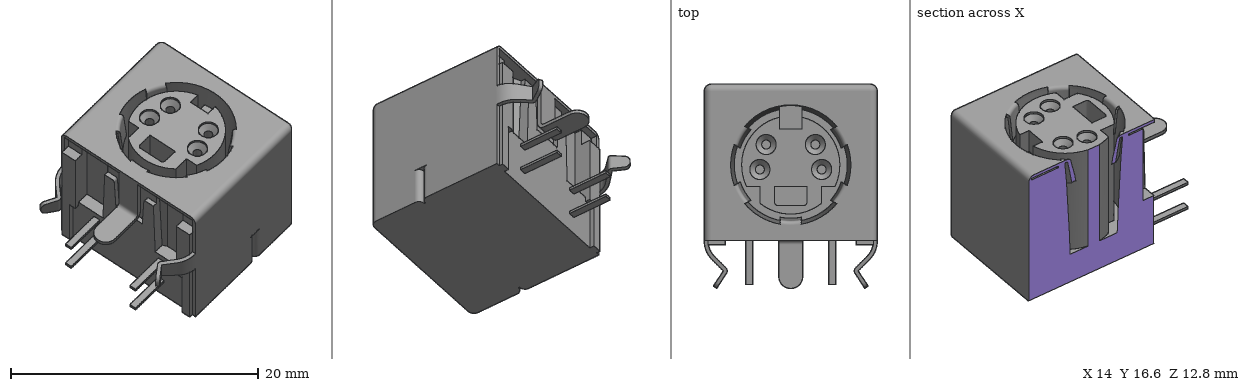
import cadquery as cq
import math


OVERALL_LENGTH = 16.56

SHELL_WIDTH = 14.03
SHELL_DEPTH = 12.68
SHELL_HEIGHT = 12.83
SHEET = 0.33
EDGE_RADIUS = 0.6
HALF_WIDTH = SHELL_WIDTH / 2
CAVITY_HALF = HALF_WIDTH - SHEET

TOP_GAP = 0.1
INSULATOR_TOP = SHELL_HEIGHT - SHEET - TOP_GAP
FRONT_SETBACK = 0.08
WING_TOP = 10.88
RECESS_Y = 0.5
RECESS_TOP_HALF = 1.55
RECESS_BOTTOM_HALF = 1.37
RECESS_BOTTOM = 7.6
WING_ROUND = 0.23

POCKET_OUTER_X = 5.28
POCKET_INNER_X = 3.15
POCKET_FLOOR_Y = 1.16
POCKET_BOTTOM = 5.0
POCKET_FLARE = 2.48
WING_SIDE_TOP_X = 2.5
WING_SIDE_BOTTOM_X = 2.73

FOOT_PROJECTION = 0.33
FOOT_STEP_X = 5.86
FOOT_STEP_Z = 4.57

SOCKET_Y = 6.13
SOCKET_RADIUS = 4.87
SOCKET_FLOOR_RADIUS = 4.57
SOCKET_DEPTH = 9.94
CORE_RADIUS = 3.97
COLLAR_RADIUS = 5.3
CORE_SHOULDER_Y = -1.75
CORE_LOBE_HALF = 2.5
KEY_HALF = 0.91
KEY_INNER = 2.93
KEY_DEPTH = 2.15
WINDOW_HALF = 1.3
WINDOW_HEIGHT = 1.52
WINDOW_ROUND = 0.26

CONTACTS = [(1.99, 1.65), (2.5, -0.36)]
CONTACT_RIM_RADIUS = 0.81
CONTACT_RIM_DEPTH = 0.2
CONTACT_BORE_RADIUS = 0.36
CONTACT_DEPTH = 3.31

TAB_ANGLES = [30, 150, 210, 270, 330]
TAB_WIDTH = 1.72
TAB_BEND = 0.33
TAB_SHEET = 0.2
TAB_LENGTH = 2.32
TAB_LEAN = 0.23

TONGUE_HALF = 0.98
TONGUE_TOP = 8.3
TONGUE_BEND = 0.33
TONGUE_REACH = OVERALL_LENGTH - SHELL_DEPTH

LEAD_X = 3.36
LEAD_LEVELS = [4.34, 1.84]
LEAD_WIDTH = 0.6
LEAD_THICKNESS = 0.25
LEAD_REACH = 3.56

LEG_Z = 7.34
LEG_ROOT_HALF = 1.01
LEG_TIP_HALF = 0.53
LEG_TIP_ROUND = 0.5
LEG_BEND_RADIUS = 2.15
LEG_KNEE_X = 5.25
LEG_KNEE_ROUND = 0.33
LEG_TIP = (6.13, -3.76)

SEAM_Y = 7.62
SEAM_ROLL = 0.53
SEAM_SLIT = 0.1
SEAM_HEIGHT = 3.43


def box(x0, x1, y0, y1, z0, z1):
    """Axis-aligned box between two corners."""
    return cq.Workplane("XY").box(x1 - x0, y1 - y0, z1 - z0, centered=False).translate((x0, y0, z0))


def front_prism(points, y0, y1):
    """Closed XZ outline extruded from y0 to y1."""
    return cq.Workplane("XZ", origin=(0, y0, 0)).polyline(points).close().extrude(y0 - y1)


def both_sides(solid):
    """The solid together with its mirror image in X."""
    return solid.union(solid.mirror("YZ"))


def on_socket(z):
    """Horizontal workplane centred on the socket axis."""
    return cq.Workplane("XY", origin=(0, SOCKET_Y, z))


def body_block():
    """Solid outer block, rounded at the back uprights and along the top, square at the front."""
    block = box(-HALF_WIDTH, HALF_WIDTH, 0, SHELL_DEPTH, 0, SHELL_HEIGHT)
    block = block.edges("|Z and >Y").fillet(EDGE_RADIUS)
    return block.faces(">Z").edges("not(<Y)").fillet(EDGE_RADIUS)


def front_recess():
    """Setback of the insulator, with the deeper T-shaped recess that leaves two wings."""
    setback = box(-CAVITY_HALF, CAVITY_HALF, 0, FRONT_SETBACK, 0, INSULATOR_TOP)
    above_wings = box(-CAVITY_HALF, CAVITY_HALF, 0, RECESS_Y, WING_TOP, INSULATOR_TOP)
    slot = front_prism(
        [
            (-RECESS_BOTTOM_HALF, RECESS_BOTTOM),
            (RECESS_BOTTOM_HALF, RECESS_BOTTOM),
            (RECESS_TOP_HALF, WING_TOP),
            (-RECESS_TOP_HALF, WING_TOP),
        ],
        0,
        RECESS_Y,
    )
    recess = above_wings.union(slot)
    wing_corners = cq.selectors.BoxSelector(
        (-RECESS_TOP_HALF - WING_ROUND, 0, WING_TOP - WING_ROUND),
        (RECESS_TOP_HALF + WING_ROUND, RECESS_Y, WING_TOP + WING_ROUND),
    )
    recess = recess.edges("|Y").edges(wing_corners).fillet(WING_ROUND)
    return recess.union(setback)


def side_pocket():
    """Pocket with a flared inner wall, bounded inside by the drafted wing side."""
    elevation = front_prism(
        [
            (WING_SIDE_BOTTOM_X, POCKET_BOTTOM),
            (POCKET_OUTER_X, POCKET_BOTTOM),
            (POCKET_OUTER_X, INSULATOR_TOP),
            (WING_SIDE_TOP_X, INSULATOR_TOP),
        ],
        0,
        POCKET_FLOOR_Y,
    )
    plan = (
        cq.Workplane("XY")
        .moveTo(POCKET_OUTER_X, 0)
        .lineTo(POCKET_OUTER_X, POCKET_FLOOR_Y)
        .lineTo(POCKET_INNER_X, POCKET_FLOOR_Y)
        .lineTo(POCKET_INNER_X - POCKET_FLARE, 0)
        .close()
        .extrude(SHELL_HEIGHT)
    )
    return elevation.intersect(plan)


def foot():
    """Stepped standoff strip along one side of the mounting face."""
    outline = [
        (CAVITY_HALF, 0),
        (CAVITY_HALF, WING_TOP),
        (POCKET_OUTER_X, WING_TOP),
        (POCKET_OUTER_X, FOOT_STEP_Z),
        (FOOT_STEP_X, FOOT_STEP_Z),
        (FOOT_STEP_X, 0),
    ]
    return front_prism(outline, -FOOT_PROJECTION, RECESS_Y)


def top_gap():
    """Clearance between insulator and shell roof, interrupted by a collar around the socket."""
    gap = box(
        -CAVITY_HALF, CAVITY_HALF, 0, SHELL_DEPTH - SHEET, INSULATOR_TOP, INSULATOR_TOP + TOP_GAP
    )
    return gap.cut(on_socket(0).circle(COLLAR_RADIUS).extrude(SHELL_HEIGHT))


def socket_core():
    """Round core with two cut shoulders, a key notch and a rectangular window."""
    floor = SHELL_HEIGHT - SOCKET_DEPTH
    core = on_socket(floor).circle(CORE_RADIUS).extrude(SOCKET_DEPTH)
    shoulder_y = SOCKET_Y + CORE_SHOULDER_Y
    shoulder = box(
        CORE_LOBE_HALF, CORE_RADIUS, SOCKET_Y - CORE_RADIUS, shoulder_y, floor, SHELL_HEIGHT
    )
    window = box(
        -WINDOW_HALF, WINDOW_HALF, shoulder_y - WINDOW_HEIGHT, shoulder_y, floor, SHELL_HEIGHT
    )
    window = window.edges("|Z and <Y").fillet(WINDOW_ROUND)
    return core.cut(both_sides(shoulder)).cut(window).cut(key_zone(floor, SHELL_HEIGHT))


def key_zone(z0, z1):
    """Key slot from the core out to the bore wall, between two levels."""
    inner_y = SOCKET_Y + KEY_INNER
    return box(-KEY_HALF, KEY_HALF, inner_y, SOCKET_Y + SOCKET_RADIUS, z0, z1)


def key_stop():
    """Raised floor of the key slot, bridging the core and the bore wall."""
    return key_zone(SHELL_HEIGHT - SOCKET_DEPTH, SHELL_HEIGHT - KEY_DEPTH)


def socket_bore():
    """Straight through the shell roof, then tapering to the floor."""
    profile = [
        (0, SHELL_HEIGHT),
        (SOCKET_RADIUS, SHELL_HEIGHT),
        (SOCKET_RADIUS, SHELL_HEIGHT - SHEET),
        (SOCKET_FLOOR_RADIUS, SHELL_HEIGHT - SOCKET_DEPTH),
        (0, SHELL_HEIGHT - SOCKET_DEPTH),
    ]
    bore = cq.Workplane("XZ").polyline(profile).close().revolve(360, (0, 0, 0), (0, 1, 0))
    return bore.translate((0, SOCKET_Y, 0))


def contact_hole(x, y):
    """Short rim, 45 degree lead-in and blind bore."""
    cone_end = SHELL_HEIGHT - CONTACT_RIM_DEPTH - (CONTACT_RIM_RADIUS - CONTACT_BORE_RADIUS)
    profile = [
        (0, SHELL_HEIGHT),
        (CONTACT_RIM_RADIUS, SHELL_HEIGHT),
        (CONTACT_RIM_RADIUS, SHELL_HEIGHT - CONTACT_RIM_DEPTH),
        (CONTACT_BORE_RADIUS, cone_end),
        (CONTACT_BORE_RADIUS, SHELL_HEIGHT - CONTACT_DEPTH),
        (0, SHELL_HEIGHT - CONTACT_DEPTH),
    ]
    hole = cq.Workplane("XZ").polyline(profile).close().revolve(360, (0, 0, 0), (0, 1, 0))
    return hole.translate((x, SOCKET_Y + y, 0))


def spring_tab(angle):
    """Curved strip rolled down from the shell roof, leaning towards the socket axis."""
    bend_z = SHELL_HEIGHT - TAB_BEND
    inner = SOCKET_RADIUS - TAB_BEND
    tip_z = bend_z - TAB_LENGTH
    diagonal = TAB_BEND * math.sqrt(0.5)
    root = SOCKET_RADIUS + SHEET
    ring = (
        cq.Workplane("XZ")
        .moveTo(root, SHELL_HEIGHT)
        .lineTo(SOCKET_RADIUS, SHELL_HEIGHT)
        .threePointArc((SOCKET_RADIUS - diagonal, bend_z + diagonal), (inner, bend_z))
        .lineTo(inner - TAB_LEAN, tip_z)
        .lineTo(inner - TAB_LEAN + TAB_SHEET, tip_z)
        .lineTo(inner + TAB_SHEET, bend_z)
        .lineTo(root, bend_z)
        .close()
        .revolve(360, (0, 0, 0), (0, 1, 0))
    )
    tab = ring.intersect(box(0, root, -TAB_WIDTH / 2, TAB_WIDTH / 2, 0, SHELL_HEIGHT))
    return tab.rotate((0, 0, 0), (0, 0, 1), angle).translate((0, SOCKET_Y, 0))


def ground_tongue():
    """Strip hanging from the shell roof and bent outwards to a round-ended lead."""
    outer = TONGUE_BEND + SHEET
    bend_y = SHEET - outer
    bend_z = TONGUE_TOP + TONGUE_BEND
    diagonal = math.sqrt(0.5)
    strip = (
        cq.Workplane("YZ", origin=(-TONGUE_HALF, 0, 0))
        .moveTo(0, SHELL_HEIGHT - SHEET)
        .lineTo(SHEET, SHELL_HEIGHT - SHEET)
        .lineTo(SHEET, bend_z)
        .threePointArc(
            (bend_y + outer * diagonal, bend_z - outer * diagonal), (bend_y, bend_z - outer)
        )
        .lineTo(-TONGUE_REACH, TONGUE_TOP - SHEET)
        .lineTo(-TONGUE_REACH, TONGUE_TOP)
        .lineTo(bend_y, TONGUE_TOP)
        .threePointArc(
            (bend_y + TONGUE_BEND * diagonal, bend_z - TONGUE_BEND * diagonal), (0, bend_z)
        )
        .close()
        .extrude(2 * TONGUE_HALF)
    )
    plan = (
        cq.Workplane("XY")
        .moveTo(-TONGUE_HALF, SHEET)
        .lineTo(-TONGUE_HALF, TONGUE_HALF - TONGUE_REACH)
        .threePointArc((0, -TONGUE_REACH), (TONGUE_HALF, TONGUE_HALF - TONGUE_REACH))
        .lineTo(TONGUE_HALF, SHEET)
        .close()
        .extrude(SHELL_HEIGHT)
    )
    return strip.intersect(plan)


def lead(z):
    """Flat signal lead on the +X side at the given level."""
    half_width = LEAD_WIDTH / 2
    half_thickness = LEAD_THICKNESS / 2
    return box(
        LEAD_X - half_width,
        LEAD_X + half_width,
        -LEAD_REACH,
        FRONT_SETBACK,
        z - half_thickness,
        z + half_thickness,
    )


def spring_leg():
    """Bent strip continuing the +X wall: 45 degree bend inwards, knee, then outwards again."""
    mid_radius = LEG_BEND_RADIUS - SHEET / 2
    bend_x = HALF_WIDTH - LEG_BEND_RADIUS

    def on_bend(angle):
        turn = math.radians(angle)
        return (bend_x + mid_radius * math.cos(turn), -mid_radius * math.sin(turn))

    bend_end = on_bend(45)
    knee = (LEG_KNEE_X, bend_end[1] - (bend_end[0] - LEG_KNEE_X))
    path = (
        cq.Workplane("XY", origin=(0, 0, LEG_Z))
        .moveTo(*on_bend(0))
        .threePointArc(on_bend(22.5), bend_end)
        .lineTo(*knee)
        .lineTo(*LEG_TIP)
    )
    strip = (
        cq.Workplane("XZ", origin=(on_bend(0)[0], 0, LEG_Z))
        .rect(SHEET, 2 * LEG_ROOT_HALF)
        .sweep(path, transition="right")
    )
    knee_zone = cq.selectors.BoxSelector(
        (knee[0] - 2 * SHEET, knee[1] - SHEET, 0),
        (knee[0] + SHEET, knee[1] + SHEET, SHELL_HEIGHT),
    )
    strip = strip.edges("|Z").edges(knee_zone).edges("<X").fillet(LEG_KNEE_ROUND)
    taper = (
        cq.Workplane("YZ")
        .moveTo(0, LEG_Z - LEG_ROOT_HALF)
        .lineTo(0, LEG_Z + LEG_ROOT_HALF)
        .lineTo(-TONGUE_REACH, LEG_Z + LEG_TIP_HALF)
        .lineTo(-TONGUE_REACH, LEG_Z - LEG_TIP_HALF)
        .close()
        .extrude(SHELL_WIDTH)
    )
    leg = strip.intersect(taper)
    margin = SHEET / 4
    tip_zone = cq.selectors.BoxSelector(
        (LEG_TIP[0] - margin, LEG_TIP[1] - margin, 0),
        (LEG_TIP[0] + margin, LEG_TIP[1] + margin, SHELL_HEIGHT),
    )
    return leg.edges("not |Z").edges(tip_zone).fillet(LEG_TIP_ROUND)


def seam_groove():
    """Two wall edges rolled inwards, with a narrow slit between them."""
    half_slit = SEAM_SLIT / 2
    bottom_x = HALF_WIDTH - SEAM_ROLL
    reach = half_slit + SEAM_ROLL
    mid_x = bottom_x + SEAM_ROLL * math.sqrt(0.5)
    mid_offset = reach - SEAM_ROLL * math.sqrt(0.5)
    return (
        cq.Workplane("XY")
        .moveTo(HALF_WIDTH, SEAM_Y - reach)
        .threePointArc((mid_x, SEAM_Y - mid_offset), (bottom_x, SEAM_Y - half_slit))
        .lineTo(bottom_x, SEAM_Y + half_slit)
        .threePointArc((mid_x, SEAM_Y + mid_offset), (HALF_WIDTH, SEAM_Y + reach))
        .close()
        .extrude(SEAM_HEIGHT)
    )


result = body_block()
result = result.cut(front_recess()).cut(both_sides(side_pocket())).cut(top_gap())
result = result.cut(socket_bore()).union(socket_core()).union(key_stop())
for contact_x, contact_y in CONTACTS:
    result = result.cut(both_sides(contact_hole(contact_x, contact_y)))
for tab_angle in TAB_ANGLES:
    result = result.union(spring_tab(tab_angle))
result = result.cut(both_sides(seam_groove()))
result = result.union(both_sides(foot())).union(ground_tongue())
for lead_z in LEAD_LEVELS:
    result = result.union(both_sides(lead(lead_z)))
result = result.union(both_sides(spring_leg()))